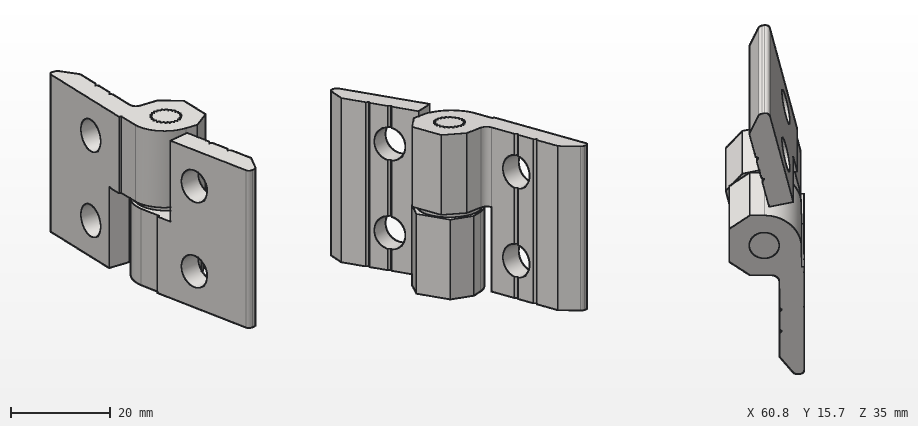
import cadquery as cq
import math


height = 35.0
washer_thickness = 1.0
knuckle_height = (height - washer_thickness) / 2
upper_knuckle_base = height - knuckle_height

knuckle_half_width = 7.0
knuckle_round = 7.5
knuckle_front = -knuckle_round
knuckle_back = 7.05
knuckle_chamfer_x = 3.15
knuckle_chamfer_y = 4.2

plate_offset = 0.5
plate_front = knuckle_front - plate_offset
plate_thickness = 5.0
plate_back = plate_front + plate_thickness
plate_end = 30.0
plate_step = 5.0
root_fillet = 1.5
end_chamfer_x = 4.0
end_chamfer_y = 3.0
end_round = 1.0
opening_edge = 8.5
leaf_angle = 13

screw_hole_diameter = 7.0
screw_hole_distance = 15.0
screw_hole_edge = 8.0
groove_distances = (screw_hole_distance, 20.0)
groove_width = 1.0
groove_depth = 0.5

pin_diameter = 6.0
washer_diameter = 13.0
knurl_teeth = 22
knurl_crest_diameter = 6.3
knurl_root_diameter = 5.7
knurl_crest_width = 0.2
knurl_turn = -3.2


def leaf_outline():
    """Section of a leaf whose plate points to -X, without fillets or grooves."""
    side = knuckle_half_width
    return (
        cq.Workplane("XY")
        .moveTo(-plate_end, plate_front)
        .lineTo(-plate_step, plate_front)
        .lineTo(-plate_step, knuckle_front)
        .lineTo(0, knuckle_front)
        .radiusArc((side, 0), -knuckle_round)
        .lineTo(side, knuckle_back - knuckle_chamfer_y)
        .lineTo(side - knuckle_chamfer_x, knuckle_back)
        .lineTo(-side + knuckle_chamfer_x, knuckle_back)
        .lineTo(-side, knuckle_back - knuckle_chamfer_y)
        .lineTo(-side, plate_back)
        .lineTo(-plate_end + end_chamfer_x, plate_back)
        .lineTo(-plate_end, plate_back - end_chamfer_y)
        .close()
    )


def vertical_edge_at(x, y):
    """Selector for the full-height edge that passes through (x, y)."""
    return cq.selectors.NearestToPointSelector((x, y, height / 2))


def marking_groove(distance):
    """V-shaped groove along the back of the plate."""
    return (
        cq.Workplane("XY")
        .moveTo(-distance - groove_width / 2, plate_back)
        .lineTo(-distance, plate_back - groove_depth)
        .lineTo(-distance + groove_width / 2, plate_back)
        .close()
        .extrude(height)
    )


def screw_hole(z):
    """Cutter for one hole through the plate."""
    return (
        cq.Workplane("XZ", origin=(-screw_hole_distance, plate_back, z))
        .circle(screw_hole_diameter / 2)
        .extrude(plate_thickness)
    )


def knuckle_opening():
    """Space below the knuckle for the washer and the other leaf's knuckle."""
    opening_length = 2 * opening_edge
    opening_depth = knuckle_back - plate_front
    return cq.Workplane("XY").box(
        opening_length, opening_depth, upper_knuckle_base, centered=False
    ).translate((-opening_edge, plate_front, 0))


def make_leaf():
    """Leaf with its knuckle at the top and no pin bore."""
    leaf = leaf_outline().extrude(height)
    leaf = leaf.edges(vertical_edge_at(-knuckle_half_width, plate_back)).fillet(root_fillet)
    for end_y in (plate_front, plate_back - end_chamfer_y):
        leaf = leaf.edges(vertical_edge_at(-plate_end, end_y)).fillet(end_round)
    for distance in groove_distances:
        leaf = leaf.cut(marking_groove(distance))
    for z in (screw_hole_edge, height - screw_hole_edge):
        leaf = leaf.cut(screw_hole(z))
    return leaf.cut(knuckle_opening())


def polar_point(radius, angle):
    """Point at a distance and an angle in degrees from the pin axis."""
    turn = math.radians(angle)
    return (radius * math.cos(turn), radius * math.sin(turn))


def knurl_outline():
    """Points of the toothed section: one root and the two ends of a crest for every tooth."""
    pitch = 360 / knurl_teeth
    root_radius = knurl_root_diameter / 2
    crest_radius = knurl_crest_diameter / 2
    half_crest = math.degrees(knurl_crest_width / knurl_crest_diameter)
    points = []
    for i in range(knurl_teeth):
        crest = knurl_turn + i * pitch
        root = crest - pitch / 2
        points.append(polar_point(root_radius, root))
        points.append(polar_point(crest_radius, crest - half_crest))
        points.append(polar_point(crest_radius, crest + half_crest))
    return points


def make_pin():
    """Pin, plain in the lower knuckle and washer and knurled in the upper knuckle."""
    shank = cq.Workplane("XY").circle(pin_diameter / 2).extrude(upper_knuckle_base)
    knurl = (
        cq.Workplane("XY", origin=(0, 0, upper_knuckle_base))
        .polyline(knurl_outline())
        .close()
        .extrude(knuckle_height)
    )
    return shank.union(knurl)


def make_washer():
    """Flat ring between the two knuckles."""
    return (
        cq.Workplane("XY", origin=(0, 0, knuckle_height))
        .circle(washer_diameter / 2)
        .circle(pin_diameter / 2)
        .extrude(washer_thickness)
    )


def make_lower_leaf():
    """The leaf turned upside down to point to +X, then swung open by the leaf angle."""
    return (
        make_leaf()
        .rotate((0, 0, height / 2), (0, 1, height / 2), 180)
        .rotate((0, 0, 0), (0, 0, 1), leaf_angle)
    )


pin = make_pin()
washer = make_washer()
upper_leaf = make_leaf().cut(pin)
lower_leaf = make_lower_leaf().cut(pin)

result = cq.Compound.makeCompound([upper_leaf.val(), lower_leaf.val(), washer.val(), pin.val()])